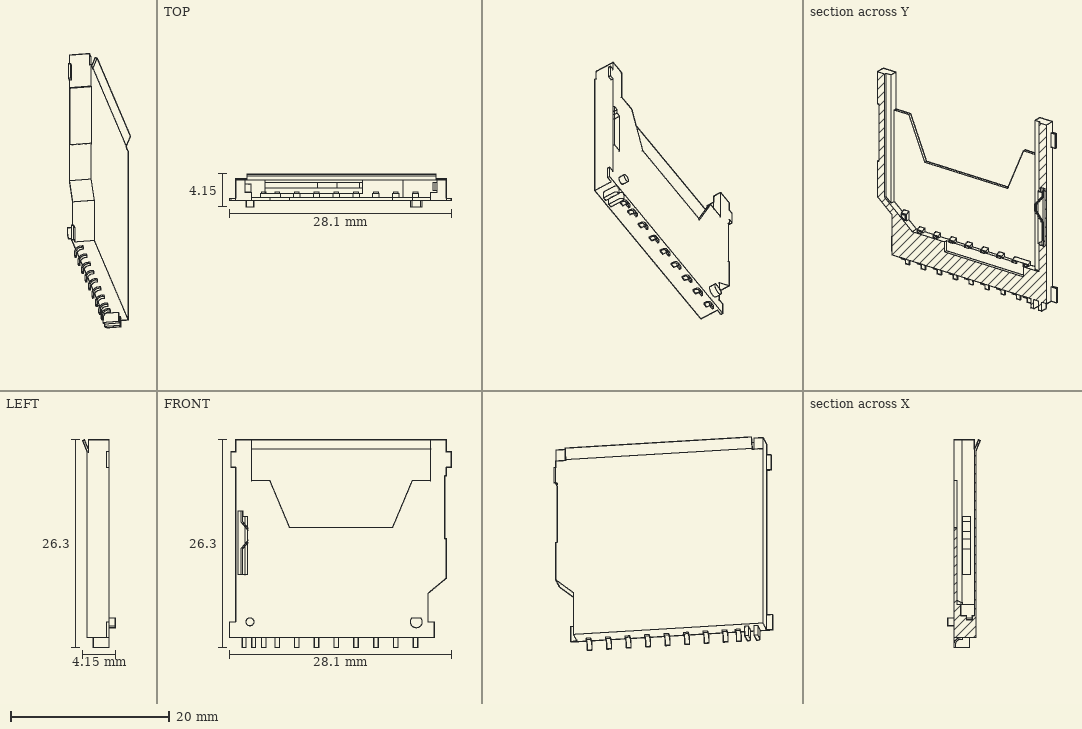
import cadquery as cq
import math


body_width = 26.6
body_height = 25.0
body_depth = 2.8
shell_thickness = 0.2
shell_inner_y = body_depth - shell_thickness
shell_top_z = 23.45
foot_width = 24.3
corner_low_z = 5.6
corner_high_z = 7.5
relief_depth = 0.2
relief_low_z = 12.5
relief_high_z = 20.45

tab_thickness = 0.3
flange_reach = 0.8
flange_height = 2.0
ear_low_z = 21.5
ear_high_z = 23.5
left_ear_reach = 0.6
right_ear_reach = 0.65

side_wall = 1.2
rail_reach = 2.0
rail_depth = 1.05
floor_thickness = 0.4
end_wall_z = 4.2
cavity_right_x = body_width - side_wall
cavity_corner_x = 21.1
corner_slope = (corner_high_z - corner_low_z) / (body_width - foot_width)

opening_shoulder_z = 19.85
opening_bottom_z = 13.9
opening_shoulder_x = 4.3
opening_bottom_x = 6.8

flap_left_x = 1.4
flap_right_x = 25.3
flap_bend_z = 23.8
flap_front_y = 3.1
flap_tip_y = 3.35
flap_tip_drop = 0.1

slot_left_x = 0.3
slot_right_x = 1.5
slot_neck_x = 0.9
slot_bottom_z = 7.95
slot_shoulder_z = 15.3
slot_top_z = 16.0
spring_front_y = 1.1
spring_back_y = 2.1
spring_x = 0.65
spring_thickness = 0.22
spring_reach = 1.05
spring_bend_low_z = 11.2
spring_bend_high_z = 14.65
spring_slope = 1.2

lug_reach = 0.5
lug_shoulder_reach = 0.25
lug_shoulder_rise = 0.25
lug_crest_rise = 1.0
lug_front_y = 1.3
lug_back_y = 2.3
lug_low_z = 13.0
lug_high_z = 16.0

recess_left_x = 3.7
recess_right_x = 16.0
recess_front_y = 0.9
recess_floor_z = 2.8
groove_front_y = 1.6
groove_back_y = 2.3
groove_floor_z = 1.0
cam_start_x = 10.3
cam_crest_start_x = 11.7
cam_crest_end_x = 12.8
cam_end_x = 15.6
cam_shoulder_z = 2.3
cam_crest_z = 2.5
cam_end_z = 2.0

contact_pitch = 2.5
pitched_contact_count = 7
last_contact_x = 22.7
extra_contact_xs = [3.55, 5.25]
pin_width = 0.6
pin_length = 1.25
pin_bend_radius = 0.9
pin_thickness = 0.2
pad_width = 0.8
pad_back_y = 0.9
pad_rise = 0.25
tip_back_y = 1.1

terminal_xs = [1.05, 2.25]
terminal_width = 0.5
terminal_back_y = 2.0
terminal_bend_radius = 0.4

peg_height = 0.8
peg_z = 2.0
round_peg_x = 1.8
round_peg_radius = 0.5
flat_peg_x = 22.8
flat_peg_radius = 0.75
flat_peg_flat = 0.5


def box(x0, x1, y0, y1, z0, z1):
    """Box between opposite corners."""
    return cq.Workplane("XY").box(x1 - x0, y1 - y0, z1 - z0, centered=False).translate((x0, y0, z0))


def plate(points, y0, y1):
    """Outline in X and Z, extruded from y0 to y1."""
    return cq.Workplane("XZ", origin=(0, y0, 0)).polyline(points).close().extrude(y0 - y1)


def bar(points, x0, x1):
    """Outline in Y and Z, extruded from x0 to x1."""
    return cq.Workplane("YZ", origin=(x0, 0, 0)).polyline(points).close().extrude(x1 - x0)


def make_body():
    relief_x = body_width - relief_depth
    outline = [
        (0, 0),
        (foot_width, 0),
        (foot_width, corner_low_z),
        (body_width, corner_high_z),
        (body_width, relief_low_z),
        (relief_x, relief_low_z),
        (relief_x, relief_high_z),
        (body_width, relief_high_z),
        (body_width, body_height),
        (0, body_height),
    ]
    body = plate(outline, 0, body_depth)
    return body.cut(box(0, body_width, shell_inner_y, body_depth, shell_top_z, body_height))


def make_solder_tabs():
    flange = box(-flange_reach, foot_width + flange_reach, 0, tab_thickness, 0, flange_height)
    ear_right_x = body_width + right_ear_reach
    left_ear = box(-left_ear_reach, side_wall, 0, tab_thickness, ear_low_z, ear_high_z)
    right_ear = box(cavity_right_x, ear_right_x, 0, tab_thickness, ear_low_z, ear_high_z)
    return flange.union(left_ear).union(right_ear)


def cavity_layer(left_x, y0, y1):
    """Slab of card space with a slanted corner, between left_x and its mirror position."""
    right_x = body_width - left_x
    corner_z = end_wall_z + corner_slope * (right_x - cavity_corner_x)
    outline = [
        (left_x, end_wall_z),
        (cavity_corner_x, end_wall_z),
        (right_x, corner_z),
        (right_x, body_height),
        (left_x, body_height),
    ]
    return plate(outline, y0, y1)


def make_floor_opening():
    left_half = [
        (rail_reach, body_height),
        (rail_reach, opening_shoulder_z),
        (opening_shoulder_x, opening_shoulder_z),
        (opening_bottom_x, opening_bottom_z),
    ]
    right_half = [(body_width - x, z) for x, z in reversed(left_half)]
    return plate(left_half + right_half, 0, floor_thickness)


def make_cavity():
    card_space = cavity_layer(side_wall, rail_depth, shell_inner_y)
    rail_gap = cavity_layer(rail_reach, floor_thickness, rail_depth)
    return card_space.union(rail_gap).union(make_floor_opening())


def make_spring_slot():
    outline = [
        (slot_left_x, slot_bottom_z),
        (slot_right_x, slot_bottom_z),
        (slot_right_x, slot_shoulder_z),
        (slot_neck_x, slot_shoulder_z),
        (slot_neck_x, slot_top_z),
        (slot_left_x, slot_top_z),
    ]
    return plate(outline, 0, spring_back_y)


def make_spring():
    bend_height = spring_reach * spring_slope
    inner_edge = [
        (spring_x, slot_bottom_z),
        (spring_x, spring_bend_low_z),
        (spring_x + spring_reach, spring_bend_low_z + bend_height),
        (spring_x + spring_reach, spring_bend_high_z - bend_height),
        (spring_x, spring_bend_high_z),
        (spring_x, slot_top_z),
    ]
    outer_edge = [(x + spring_thickness, z) for x, z in reversed(inner_edge)]
    return plate(inner_edge + outer_edge, spring_front_y, spring_back_y)


def make_lug():
    shoulder_x = cavity_right_x - lug_shoulder_reach
    crest_x = cavity_right_x - lug_reach
    outline = [
        (cavity_right_x, lug_low_z),
        (shoulder_x, lug_low_z + lug_shoulder_rise),
        (crest_x, lug_low_z + lug_crest_rise),
        (crest_x, lug_high_z - lug_crest_rise),
        (shoulder_x, lug_high_z - lug_shoulder_rise),
        (cavity_right_x, lug_high_z),
    ]
    return plate(outline, lug_front_y, lug_back_y)


def make_ejector_recess():
    recess = box(
        recess_left_x, recess_right_x, recess_front_y, shell_inner_y, recess_floor_z, end_wall_z
    )
    groove = box(
        recess_left_x, recess_right_x, groove_front_y, groove_back_y, groove_floor_z, recess_floor_z
    )
    return recess.union(groove)


def make_cam():
    crest_middle_x = (cam_crest_start_x + cam_crest_end_x) / 2
    return (
        cq.Workplane("XZ", origin=(0, groove_front_y, 0))
        .moveTo(cam_start_x, groove_floor_z)
        .lineTo(cam_crest_start_x, cam_shoulder_z)
        .threePointArc((crest_middle_x, cam_crest_z), (cam_crest_end_x, cam_shoulder_z))
        .lineTo(cam_end_x, cam_end_z)
        .lineTo(cam_end_x, groove_floor_z)
        .close()
        .extrude(groove_front_y - groove_back_y)
    )


def make_flap():
    outline = [
        (shell_inner_y, shell_top_z),
        (shell_inner_y, flap_bend_z),
        (flap_front_y, body_height),
        (flap_tip_y, body_height - flap_tip_drop),
        (body_depth, shell_top_z + flap_tip_drop),
        (body_depth, shell_top_z),
    ]
    return bar(outline, flap_left_x, flap_right_x)


def make_pin(x):
    """Lead that leaves the end of the body, bends down and ends flush with the mounting face."""
    inner_radius = pin_bend_radius - pin_thickness
    diagonal = math.sqrt(0.5)
    outer_middle = pin_bend_radius * (1 - diagonal)
    inner_middle = pin_bend_radius - inner_radius * diagonal
    return (
        cq.Workplane("YZ", origin=(x - pin_width / 2, 0, 0))
        .moveTo(0, -pin_length)
        .lineTo(0, -pin_bend_radius)
        .threePointArc((outer_middle, -outer_middle), (pin_bend_radius, 0))
        .lineTo(tip_back_y, 0)
        .lineTo(tip_back_y, -pin_thickness)
        .lineTo(pin_bend_radius, -pin_thickness)
        .threePointArc((inner_middle, -inner_middle), (pin_thickness, -pin_bend_radius))
        .lineTo(pin_thickness, -pin_length)
        .close()
        .extrude(pin_width)
    )


def end_wall_at(x):
    """Height of the cavity end wall, which slants up beyond the corner."""
    return end_wall_z + corner_slope * max(0, x - cavity_corner_x)


def make_pad(x0, x1):
    """Contact pad on the cavity floor, standing on the end wall with its top sloping to the back."""
    base_z = end_wall_at(x0)
    top_z = end_wall_at(x1) + pad_rise
    section = [
        (floor_thickness, base_z),
        (floor_thickness, top_z + pad_rise),
        (pad_back_y, top_z),
        (pad_back_y, base_z),
    ]
    return bar(section, x0, x1)


def make_tip(x):
    """Narrow contact tip between the back of the pad and the card."""
    x0 = x - pin_width / 2
    x1 = x + pin_width / 2
    return box(x0, x1, pad_back_y, tip_back_y, end_wall_at(x0), end_wall_at(x1) + pad_rise)


def make_contacts():
    first_pitched_x = last_contact_x - contact_pitch * (pitched_contact_count - 1)
    pitched_xs = [first_pitched_x + i * contact_pitch for i in range(pitched_contact_count)]
    half_pad = pad_width / 2
    contacts = make_pad(extra_contact_xs[0] - half_pad, extra_contact_xs[-1] + half_pad)
    for x in pitched_xs:
        contacts = contacts.union(make_pad(x - half_pad, x + half_pad))
    for x in extra_contact_xs + pitched_xs:
        contacts = contacts.union(make_tip(x)).union(make_pin(x))
    return contacts


def make_terminal(x):
    """Switch terminal below the body, with one rounded front edge."""
    half_width = terminal_width / 2
    block = box(x - half_width, x + half_width, 0, terminal_back_y, -pin_length, 0)
    return block.edges("|Z and <X and <Y").fillet(terminal_bend_radius)


def make_round_peg():
    peg = cq.Workplane("XZ").center(round_peg_x, peg_z).circle(round_peg_radius)
    return peg.extrude(peg_height)


def make_flat_peg():
    flat_half_width = math.sqrt(flat_peg_radius**2 - flat_peg_flat**2)
    return (
        cq.Workplane("XZ")
        .center(flat_peg_x, peg_z)
        .moveTo(-flat_half_width, flat_peg_flat)
        .threePointArc((0, -flat_peg_radius), (flat_half_width, flat_peg_flat))
        .close()
        .extrude(peg_height)
    )


socket = make_body().union(make_solder_tabs())
socket = socket.cut(make_cavity()).cut(make_spring_slot()).cut(make_ejector_recess())
socket = socket.union(make_spring()).union(make_lug()).union(make_cam()).union(make_flap())
socket = socket.union(make_contacts())
for terminal_x in terminal_xs:
    socket = socket.union(make_terminal(terminal_x))
result = socket.union(make_round_peg()).union(make_flat_peg())